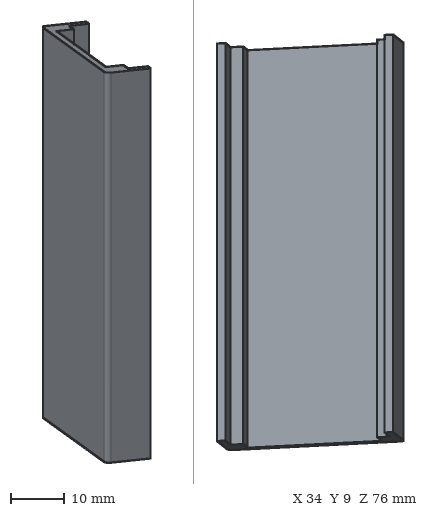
import cadquery as cq

width = 34.0
depth = 9.0
length = 76.0

floor_thickness = 1.5
wall_thickness = 1.6
ledge_width = 2.4
ledge_height = 5.0
corner_radius = 1.0

back_y = -depth / 2
inner_width = width - 2 * wall_thickness
floor_width = inner_width - 2 * ledge_width


def cavity(cavity_width, bottom_height):
    """Full-length cut, open on the +Y side, starting at a height above the back face."""
    return (
        cq.Workplane("XY")
        .box(cavity_width, depth - bottom_height, length, centered=(True, False, True))
        .translate((0, back_y + bottom_height, 0))
    )


body = cq.Workplane("XY").box(width, depth, length)
body = body.faces("<Y").edges("|Z").fillet(corner_radius)

result = body.cut(cavity(inner_width, ledge_height)).cut(cavity(floor_width, floor_thickness))